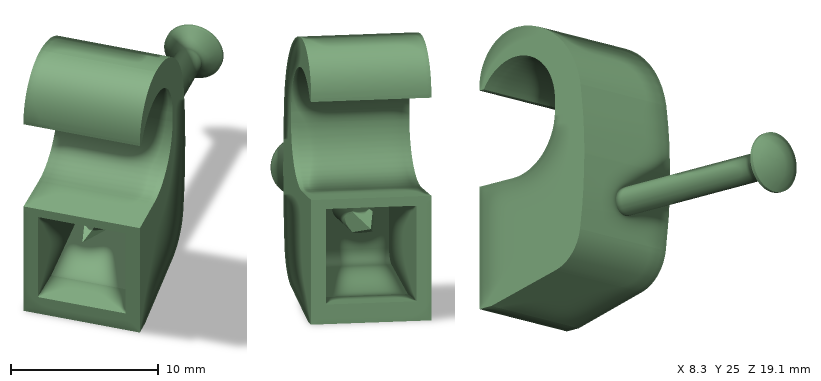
import cadquery as cq
import math

front_width = 8.3
side_draft = 0.5
clip_height = 19.1
base_height = 8.58
base_flat_depth = 1.15
underside_angle = 12.2
bulge_depth = 10.08
bulge_height = 9.0
bulge_radius = 32.5
heel_radius = 3.0
heel_steps = 20

hook_axis_depth = 3.55
outer_radius = 6.25
outer_sweep = 80.0
tip_height = 15.32
bore_radius = 3.7
bore_floor_radius = 4.0
bore_top = 17.05

pocket_width = 6.25
pocket_floor = 1.35
pocket_top = 7.92
pocket_back = 8.7
pocket_flat_depth = 2.75
pocket_side_draft = 1.0
pocket_top_draft = 1.6
pocket_corner_radius = 1.0

nail_height = 6.4
shank_radius = 0.98
head_radius = 2.08
point_tip = 0.15
point_length = 4.0
point_sides = 4
head_start = 23.0
rim_start = 24.1
rim_end = 24.35
nail_end = 25.0


def drafted_block(width, depth, bottom, top, draft):
    """Block from y = 0 to depth whose two X sides close in towards the back."""
    front_half = width / 2
    back_half = front_half - depth * math.tan(math.radians(draft))
    return (
        cq.Workplane("XY", origin=(0, 0, bottom))
        .polyline([(-front_half, 0), (front_half, 0), (back_half, depth), (-back_half, depth)])
        .close()
        .extrude(top - bottom)
    )


def side_profile():
    """Workplane whose local axes are Y and Z, centred for symmetric extrusion along X."""
    return cq.Workplane("YZ")


def bulge_depth_at(height):
    """Depth of the shallow back arc at a given height."""
    drop = bulge_radius - math.sqrt(bulge_radius**2 - (height - bulge_height) ** 2)
    return bulge_depth - drop


def make_clip_blank():
    """Hook and base outline, with a rounded heel and drafted sides."""
    outer_centre = clip_height - outer_radius
    sweep = math.radians(outer_sweep)
    half_sweep = sweep / 2
    outer_middle = (
        hook_axis_depth + outer_radius * math.sin(half_sweep),
        outer_centre + outer_radius * math.cos(half_sweep),
    )
    outer_end = (
        hook_axis_depth + outer_radius * math.sin(sweep),
        outer_centre + outer_radius * math.cos(sweep),
    )

    nose_radius = hook_axis_depth
    nose_centre = clip_height - nose_radius
    diagonal = math.sqrt(0.5)
    nose_middle = (hook_axis_depth - nose_radius * diagonal, nose_centre + nose_radius * diagonal)

    upper_centre = bore_top - bore_radius
    lower_centre = base_height + bore_floor_radius
    bore_back = hook_axis_depth + bore_radius
    tip_rise = tip_height - upper_centre
    tip_inner = hook_axis_depth - math.sqrt(bore_radius**2 - tip_rise**2)
    floor_start = bore_back - bore_floor_radius
    lower_middle = (
        floor_start + bore_floor_radius * diagonal,
        lower_centre - bore_floor_radius * diagonal,
    )

    slope = math.tan(math.radians(underside_angle))
    heel_height = 0.0
    for _ in range(heel_steps):
        heel_height = (bulge_depth_at(heel_height) - base_flat_depth) * slope
    heel = (bulge_depth_at(heel_height), heel_height)

    blank = (
        side_profile()
        .moveTo(0, 0)
        .lineTo(base_flat_depth, 0)
        .lineTo(*heel)
        .threePointArc((bulge_depth, bulge_height), outer_end)
        .threePointArc(outer_middle, (hook_axis_depth, clip_height))
        .threePointArc(nose_middle, (0, nose_centre))
        .lineTo(0, tip_height)
        .lineTo(tip_inner, tip_height)
        .threePointArc((hook_axis_depth, bore_top), (bore_back, upper_centre))
        .lineTo(bore_back, lower_centre)
        .threePointArc(lower_middle, (floor_start, base_height))
        .lineTo(0, base_height)
        .close()
        .extrude(front_width / 2, both=True)
    )
    blank = blank.edges(cq.selectors.NearestToPointSelector((0, *heel))).fillet(heel_radius)
    return blank.intersect(drafted_block(front_width, bulge_depth, 0, clip_height, side_draft))


def make_pocket():
    """Hollow in the base: drafted sides and roof, sloping floor with a round back corner."""
    floor_end = pocket_floor + (pocket_back - pocket_flat_depth) * math.tan(math.radians(underside_angle))
    back_top = pocket_top - pocket_back * math.tan(math.radians(pocket_top_draft))
    pocket = (
        side_profile()
        .polyline(
            [
                (0, pocket_floor),
                (pocket_flat_depth, pocket_floor),
                (pocket_back, floor_end),
                (pocket_back, back_top),
                (0, pocket_top),
            ]
        )
        .close()
        .extrude(pocket_width / 2, both=True)
    )
    corner = cq.selectors.NearestToPointSelector((0, pocket_back, floor_end))
    pocket = pocket.edges(corner).fillet(pocket_corner_radius)
    return pocket.intersect(
        drafted_block(pocket_width, pocket_back, pocket_floor, pocket_top, pocket_side_draft)
    )


def make_nail_hole():
    """Round hole through the back wall that fits the shank."""
    start = pocket_back / 2
    return (
        cq.Workplane("XZ", origin=(0, start, nail_height))
        .circle(shank_radius)
        .extrude(start - nail_end)
    )


def make_clip():
    return make_clip_blank().cut(make_pocket()).cut(make_nail_hole())


def make_nail():
    """Turned nail with a countersunk domed head and a four-sided point."""
    dome_rise = nail_end - rim_end
    dome_radius = (head_radius**2 + dome_rise**2) / (2 * dome_rise)
    half_angle = math.asin(head_radius / dome_radius) / 2
    dome_middle = (
        dome_radius * math.sin(half_angle),
        nail_end - dome_radius * (1 - math.cos(half_angle)),
    )
    turned = (
        cq.Workplane("XY")
        .moveTo(0, point_tip)
        .lineTo(shank_radius, point_tip)
        .lineTo(shank_radius, head_start)
        .lineTo(head_radius, rim_start)
        .lineTo(head_radius, rim_end)
        .threePointArc(dome_middle, (0, nail_end))
        .close()
        .revolve(360, (0, 0, 0), (0, 1, 0))
    )

    flat_cutter = (
        cq.Workplane("YZ")
        .polyline([(point_tip, 0), (point_tip + point_length, shank_radius), (point_tip, shank_radius)])
        .close()
        .extrude(shank_radius, both=True)
    )
    nail = turned
    for turn in range(point_sides):
        nail = nail.cut(flat_cutter.rotate((0, 0, 0), (0, 1, 0), 360 / point_sides * turn))
    return nail.translate((0, 0, nail_height))


clip = make_clip()
nail = make_nail()
result = cq.Compound.makeCompound([clip.val(), nail.val()])